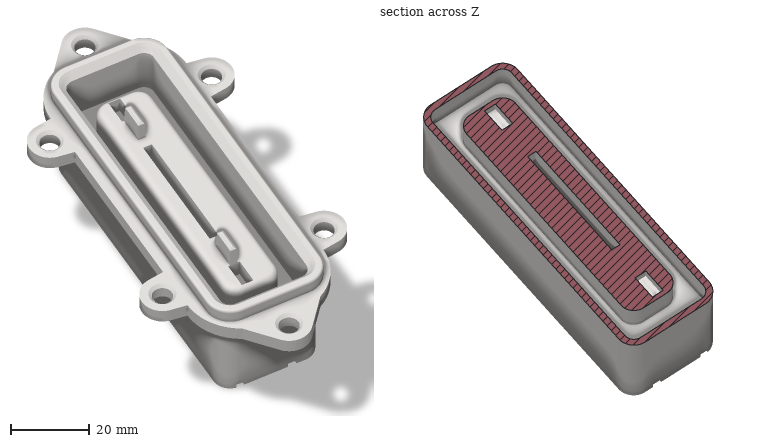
import cadquery as cq
import math

total_height = 32.0
flange_thickness = 4.0
rim_height = 4.0
flange_top = total_height - rim_height
flange_bottom = flange_top - flange_thickness

corner_x = 40.7
corner_y = 9.7
body_radius = 4.8
rim_radius = 6.9
pocket_radius = 2.9
rim_fillet = 0.8
pocket_chamfer = 1.9
pocket_depth = 15.0
pocket_floor = total_height - pocket_depth

flange_half_length = 52.0
flange_width = 39.7
flange_corner_radius = 15.7

end_lug_x = 54.5
end_lug_radius = 6.0
end_lug_root_x = 46.0
end_lug_slope = 40.0
side_lug_x = 30.0
side_lug_y = 23.6
side_lug_radius = 5.9
side_lug_root_y = 17.0
side_lug_slope = 8.0
screw_hole_diameter = 5.5
screw_hole_chamfer = 0.8

pedestal_length = 73.8
pedestal_width = 15.7
pedestal_top = total_height - 5.8
pedestal_corner_radius = 4.1
pedestal_edge_fillet = 2.2

contact_y = -1.8
slot_length = 35.6
slot_width = 2.5
blade_inner_x = 20.7
blade_outer_x = 28.3
blade_thickness = 2.3
blade_height = 5.7
blade_taper = 3.0
blade_chamfer = 0.6
recess_outer_x = 35.6
recess_width = 3.4
recess_depth = 4.8

groove_depth = 1.15
grooves = [(5.8, 2.5), (-9.3, 2.3)]


def rounded_block(offset, bottom, top):
    """Block whose rounded vertical corners are centred on the shared corner centres."""
    return (
        cq.Workplane("XY", origin=(0, 0, bottom))
        .rect(2 * (corner_x + offset), 2 * (corner_y + offset))
        .extrude(top - bottom)
        .edges("|Z")
        .fillet(offset)
    )


def block(x_min, x_max, y_centre, width, bottom, top):
    """Box between two X positions and two heights, centred on a line along X."""
    return (
        cq.Workplane("XY", origin=((x_min + x_max) / 2, y_centre, bottom))
        .rect(x_max - x_min, width)
        .extrude(top - bottom)
    )


def lug(x, y, direction, radius, slope, reach):
    """Round-ended lug pointing along `direction` (degrees); its sides spread by `slope` inwards."""
    tangent_x = radius * math.sin(math.radians(slope))
    tangent_y = radius * math.cos(math.radians(slope))
    root_y = tangent_y + (reach + tangent_x) * math.tan(math.radians(slope))
    return (
        cq.Workplane("XY")
        .moveTo(-reach, -root_y)
        .lineTo(tangent_x, -tangent_y)
        .threePointArc((radius, 0), (tangent_x, tangent_y))
        .lineTo(-reach, root_y)
        .close()
        .extrude(flange_thickness)
        .rotate((0, 0, 0), (0, 0, 1), direction)
        .translate((x, y, flange_bottom))
    )


def make_flange():
    flange = (
        cq.Workplane("XY", origin=(0, 0, flange_bottom))
        .rect(2 * flange_half_length, flange_width)
        .extrude(flange_thickness)
        .edges("|Z")
        .fillet(flange_corner_radius)
    )
    end_reach = end_lug_x - end_lug_root_x
    side_reach = side_lug_y - side_lug_root_y
    for side in (-1, 1):
        end_direction = 90 - 90 * side
        flange = flange.union(lug(side * end_lug_x, 0, end_direction, end_lug_radius, end_lug_slope, end_reach))
        for x in (-side_lug_x, side_lug_x):
            flange = flange.union(
                lug(x, side * side_lug_y, 90 * side, side_lug_radius, side_lug_slope, side_reach)
            )
    return flange


def drill_screw_holes(flange):
    centres = [(x, y) for x in (-side_lug_x, side_lug_x) for y in (-side_lug_y, side_lug_y)]
    centres += [(-end_lug_x, 0), (end_lug_x, 0)]
    return (
        flange.faces(">Z")
        .workplane(origin=(0, 0, flange_top))
        .pushPoints(centres)
        .cskHole(screw_hole_diameter, screw_hole_diameter + 2 * screw_hole_chamfer, 90)
    )


def pocket_outline(offset):
    return cq.Sketch().rect(2 * (corner_x + offset), 2 * (corner_y + offset)).vertices().fillet(offset)


def make_rim():
    return rounded_block(rim_radius, flange_bottom, total_height).faces(">Z").edges().fillet(rim_fillet)


def make_pocket():
    """Pocket space whose mouth widens in a 45 degree chamfer."""
    straight = rounded_block(pocket_radius, pocket_floor, total_height)
    mouth_bottom = total_height - pocket_chamfer
    mouth = (
        cq.Workplane("XY", origin=(0, 0, mouth_bottom))
        .placeSketch(
            pocket_outline(pocket_radius),
            pocket_outline(pocket_radius + pocket_chamfer).moved(cq.Location(cq.Vector(0, 0, pocket_chamfer))),
        )
        .loft()
    )
    return straight.union(mouth)


def make_pedestal():
    return (
        block(-pedestal_length / 2, pedestal_length / 2, 0, pedestal_width, pocket_floor, pedestal_top)
        .edges("|Z")
        .fillet(pedestal_corner_radius)
        .faces(">Z")
        .edges()
        .fillet(pedestal_edge_fillet)
    )


def make_slot():
    return block(-slot_length / 2, slot_length / 2, contact_y, slot_width, 0, pedestal_top)


def make_recess():
    """Space at the outer side of the +X blade."""
    return block(
        blade_outer_x, recess_outer_x, contact_y, recess_width, pedestal_top - recess_depth, pedestal_top
    )


def make_blade():
    """The +X blade: tapered sides that end in a hipped top."""
    return (
        cq.Workplane("XY", origin=((blade_inner_x + blade_outer_x) / 2, contact_y, pedestal_top))
        .rect(blade_outer_x - blade_inner_x, blade_thickness)
        .extrude(blade_height, taper=blade_taper)
        .faces(">Z")
        .chamfer(blade_chamfer)
    )


def make_groove(y_centre, width):
    half_length = corner_x + body_radius
    return block(-half_length, half_length, y_centre, width, 0, groove_depth)


flange = drill_screw_holes(make_flange())
body = rounded_block(body_radius, 0, flange_top)
housing = flange.union(body).union(make_rim()).cut(make_pocket())

result = housing.union(make_pedestal()).cut(make_slot())
recess = make_recess()
result = result.cut(recess).cut(recess.mirror("YZ"))
blade = make_blade()
result = result.union(blade).union(blade.mirror("YZ"))
for groove_y, groove_width in grooves:
    result = result.cut(make_groove(groove_y, groove_width))